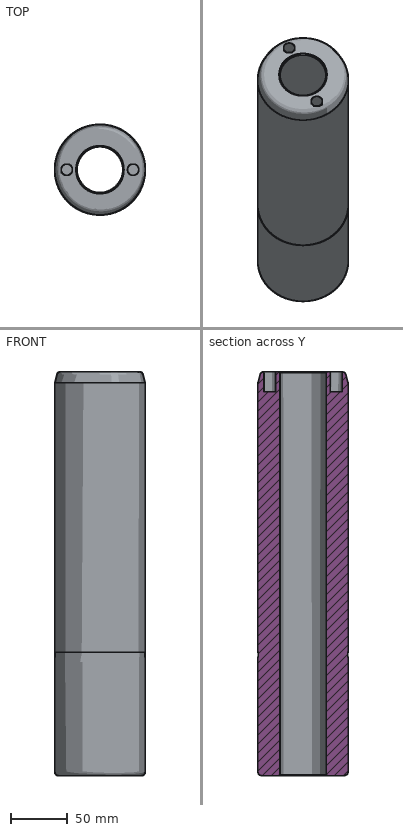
import cadquery as cq

length = 355.0
body_diameter = 80.0
body_radius = body_diameter / 2

foot_rounding = 4.0

groove_bottom = 100.0
groove_height = 8.5
groove_depth = 0.5

collar_height = 9.2
collar_step = 0.5
collar_step_drop = 0.7
collar_taper_height = 6.7
collar_taper = 1.8
collar_base_radius = body_radius - collar_step
collar_upper_radius = collar_base_radius - collar_taper
top_face_radius = 34.0

rounding_width = collar_upper_radius - top_face_radius
rounding_height = collar_height - collar_taper_height
top_rounding = (rounding_width**2 + rounding_height**2) / (2 * rounding_height)

bore_diameter = 40.0
bore_chamfer = 1.0

pin_hole_diameter = 10.0
pin_hole_depth = 17.8
pin_circle_radius = 29.0


def make_body():
    """Solid of revolution with a rounded foot and a tapered collar on top."""
    collar_bottom = length - collar_height
    taper_top = collar_bottom + collar_taper_height
    return (
        cq.Workplane("XZ")
        .lineTo(body_radius - foot_rounding, 0)
        .radiusArc((body_radius, foot_rounding), -foot_rounding)
        .lineTo(body_radius, collar_bottom - collar_step_drop)
        .lineTo(collar_base_radius, collar_bottom)
        .lineTo(collar_upper_radius, taper_top)
        .radiusArc((top_face_radius, length), -top_rounding)
        .lineTo(0, length)
        .close()
        .revolve(360, (0, 0, 0), (0, 1, 0))
    )


def make_groove():
    """Ring that cuts the groove: a flat upper wall, tapering out to the body surface below."""
    groove_top = groove_bottom + groove_height
    return (
        cq.Workplane("XZ")
        .moveTo(body_radius, groove_bottom)
        .lineTo(body_radius, groove_top)
        .lineTo(body_radius - groove_depth, groove_top)
        .close()
        .revolve(360, (0, 0, 0), (0, 1, 0))
    )


def make_bore():
    """Through bore, widened by a chamfer at both ends."""
    bore_radius = bore_diameter / 2
    mouth_radius = bore_radius + bore_chamfer
    return (
        cq.Workplane("XZ")
        .lineTo(mouth_radius, 0)
        .lineTo(bore_radius, bore_chamfer)
        .lineTo(bore_radius, length - bore_chamfer)
        .lineTo(mouth_radius, length)
        .lineTo(0, length)
        .close()
        .revolve(360, (0, 0, 0), (0, 1, 0))
    )


def make_pin_holes():
    """Two blind holes on opposite sides of the bore."""
    return (
        cq.Workplane("XY", origin=(0, 0, length - pin_hole_depth))
        .pushPoints([(-pin_circle_radius, 0), (pin_circle_radius, 0)])
        .circle(pin_hole_diameter / 2)
        .extrude(pin_hole_depth)
    )


result = make_body().cut(make_groove()).cut(make_bore()).cut(make_pin_holes())